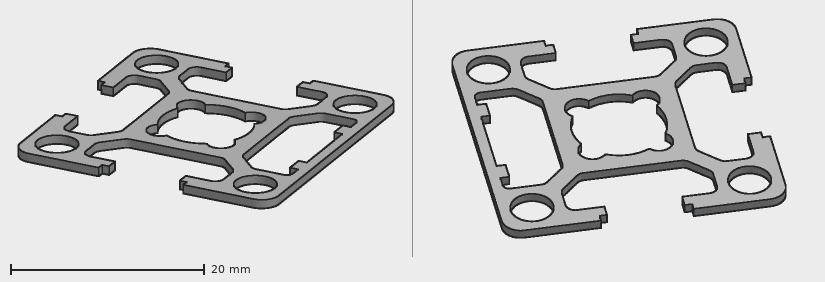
import cadquery as cq
import math

side = 30.0
thickness = 1.0
outer_radius = 2.0
half_side = side / 2

hole_diameter = 4.5
hole_offset = 11.5

core_half = 7.0
web_thickness = 2.0
web_fillet_radius = 1.0
web_shift = web_thickness / math.sqrt(2)

bore_radius = 5.0
lobe_radius = 1.5
lobe_offset = bore_radius - lobe_radius

slot_half_width = 8.0
slot_corner_radius = 1.0
lip_depth = 2.2
mouth_half_width = 4.1
step_half_width = 4.9
step_depth = 0.8

wall_thickness = 1.25
wall_corner_radius = 0.7
rib_outer_end = 6.1

open_slot_angles = (90, 180, 270)


def plate():
    body = cq.Workplane("XY").rect(side, side).extrude(thickness)
    return body.edges("|Z").fillet(outer_radius)


def block(x_start, x_end, y_start, y_end):
    center_x = (x_start + x_end) / 2
    center_y = (y_start + y_end) / 2
    outline = cq.Workplane("XY").center(center_x, center_y).rect(x_end - x_start, y_end - y_start)
    return outline.extrude(thickness)


def fillet_at(body, x, y, radius):
    """Round the two upright edges at (x, y) and (x, -y)."""
    mid_height = thickness / 2
    upper = cq.selectors.NearestToPointSelector((x, y, mid_height))
    lower = cq.selectors.NearestToPointSelector((x, -y, mid_height))
    return body.edges("|Z").edges(upper + lower).fillet(radius)


def chamber(outer_x, corner_radius):
    """Slot space from the core out to outer_x, flanked by the diagonal webs."""
    web_start_y = core_half - web_shift
    web_end_x = slot_half_width + web_shift
    outline = [
        (core_half, -web_start_y),
        (web_end_x, -slot_half_width),
        (outer_x, -slot_half_width),
        (outer_x, slot_half_width),
        (web_end_x, slot_half_width),
        (core_half, web_start_y),
    ]
    space = cq.Workplane("XY").polyline(outline).close().extrude(thickness)
    space = space.edges("|Z and >X").fillet(corner_radius)
    space = space.edges("|Z and <X").fillet(web_fillet_radius)
    return fillet_at(space, web_end_x, slot_half_width, web_fillet_radius)


def open_slot():
    lip_inner_x = half_side - lip_depth
    step_x = half_side - step_depth
    mouth = block(core_half, half_side, -mouth_half_width, mouth_half_width)
    step = block(step_x, half_side, -step_half_width, step_half_width)
    return chamber(lip_inner_x, slot_corner_radius).union(mouth).union(step)


def closed_slot():
    wall_inner_x = half_side - wall_thickness
    rib_tip_x = half_side - lip_depth
    space = chamber(wall_inner_x, wall_corner_radius)
    upper_rib = block(rib_tip_x, wall_inner_x, mouth_half_width, rib_outer_end)
    lower_rib = block(rib_tip_x, wall_inner_x, -rib_outer_end, -mouth_half_width)
    return space.cut(upper_rib).cut(lower_rib)


def turned(cutter, angle):
    return cutter.rotate((0, 0, 0), (0, 0, 1), angle)


def corner_cylinders(offset, radius):
    spacing = 2 * offset
    points = cq.Workplane("XY").rect(spacing, spacing, forConstruction=True).vertices()
    return points.circle(radius).extrude(thickness)


def central_bore():
    bore = cq.Workplane("XY").circle(bore_radius).extrude(thickness)
    return bore.union(corner_cylinders(lobe_offset, lobe_radius))


result = plate()
for angle in open_slot_angles:
    result = result.cut(turned(open_slot(), angle))
result = result.cut(closed_slot())
result = result.cut(corner_cylinders(hole_offset, hole_diameter / 2))
result = result.cut(central_bore())